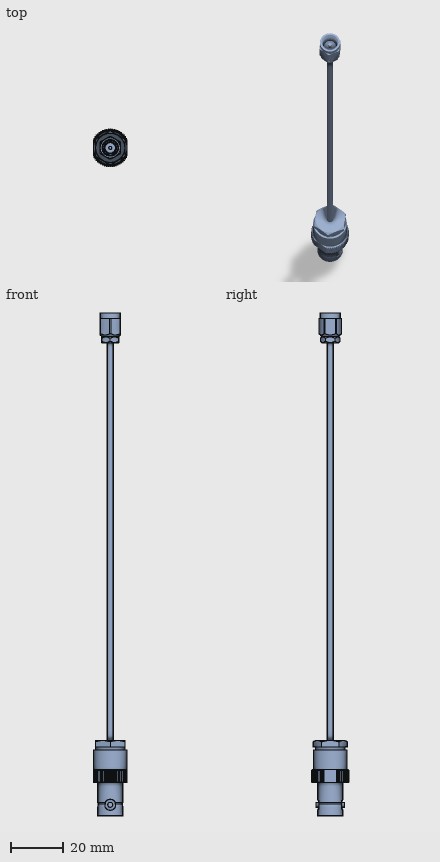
import cadquery as cq
import math

TOTAL_LENGTH = 192.5
JACK_TOP = 28.9
PLUG_BOTTOM = 180.9

CABLE_DIA = 2.3

BARREL_DIA = 9.6
SLEEVE_DIA = 12.9
KNURL_DIA = 14.5
KNURL_BOTTOM = 12.7
KNURL_TOP = 17.7
KNURL_CHAMFER = 0.4
SLEEVE_TOP = 25.2
KNURL_FLATS = SLEEVE_DIA
KNURL_COUNT = 60
KNURL_DEPTH = 0.4

GROOVE_BOTTOM = 3.5
GROOVE_DEEPEST = 4.6
GROOVE_TOP = 5.2
GROOVE_DEPTH = 0.2

LUG_Z = 4.2
LUG_DIA = 2.0
LUG_SPAN = 11.0
LUG_SEAT_DIA = 4.2
LUG_SEAT_SPAN = 8.5

CLAMP_NECK_DIA = 11.4
CLAMP_HEX_BOTTOM = 26.4
CLAMP_ACROSS_FLATS = 11.4
CLAMP_FACE_DIA = 11.2
CLAMP_CHAMFER_ANGLE = 30.0

COUPLING_BOTTOM = 183.4
COUPLING_HEX_TOP = 190.3
COUPLING_ACROSS_FLATS = 7.7
COUPLING_TURNED_DIA = 8.7
COUPLING_FACE_DIA = 6.5
COLLAR_DIA = COUPLING_ACROSS_FLATS
THREAD_MINOR_DIA = 5.8
THREAD_DEPTH = 0.29
THREAD_PITCH = 0.7
THREAD_TURNS = 7
COUPLING_FLOOR = 185.7

FERRULE_ACROSS_FLATS = 6.5
FERRULE_FACE_DIA = 6.2
SHELL_DIA = 4.8
SHELL_TOP = 188.5
INSULATOR_DIA = 4.0
INSULATOR_BOTTOM = 184.7
PIN_DIA = 1.2
PIN_TOP = 190.5

PLUG_CHAMFER_ANGLE = 45.0
HEX_CORNER_RATIO = 2 / math.sqrt(3)


def cylinder(diameter, bottom, top):
    """Cylinder on the Z axis between two heights."""
    return cq.Workplane("XY").workplane(offset=bottom).circle(diameter / 2).extrude(top - bottom)


def revolve_profile(points):
    """Solid of revolution about Z from (radius, height) points."""
    return cq.Workplane("XZ").polyline(points).close().revolve(360, (0, 0, 0), (0, 1, 0))


def hexagon(across_flats, bottom, top):
    """Hexagonal prism with flats facing +X and -X."""
    prism = cq.Workplane("XY").workplane(offset=bottom).polygon(6, across_flats * HEX_CORNER_RATIO)
    return prism.extrude(top - bottom).rotate((0, 0, 0), (0, 0, 1), 30)


def turned_hexagon(
    across_flats, bottom, top, turned_dia, face_dia, angle, chamfer_bottom=False, chamfer_top=False
):
    """Hexagonal prism turned to a diameter, its corners coned down to a round face at the chosen ends."""
    outer = turned_dia / 2
    face = face_dia / 2
    drop = (outer - face) * math.tan(math.radians(angle))
    lower = [(face, bottom), (outer, bottom + drop)] if chamfer_bottom else [(outer, bottom)]
    upper = [(outer, top - drop), (face, top)] if chamfer_top else [(outer, top)]
    envelope = revolve_profile([(0, bottom), *lower, *upper, (0, top)])
    return hexagon(across_flats, bottom, top).intersect(envelope)


def make_cable():
    return cylinder(CABLE_DIA, JACK_TOP, PLUG_BOTTOM)


def make_knurled_ring():
    """Straight-knurled ring with two opposite flats."""
    radius = KNURL_DIA / 2
    root = radius - KNURL_DEPTH
    step = 2 * math.pi / KNURL_COUNT
    points = []
    for index in range(KNURL_COUNT):
        crest_angle = index * step
        root_angle = crest_angle + step / 2
        points.append((radius * math.cos(crest_angle), radius * math.sin(crest_angle)))
        points.append((root * math.cos(root_angle), root * math.sin(root_angle)))
    height = KNURL_TOP - KNURL_BOTTOM
    ring = cq.Workplane("XY").workplane(offset=KNURL_BOTTOM).polyline(points).close().extrude(height)
    turned = cylinder(KNURL_DIA, KNURL_BOTTOM, KNURL_TOP).edges().chamfer(KNURL_CHAMFER)
    flats = (
        cq.Workplane("XY")
        .workplane(offset=KNURL_BOTTOM)
        .rect(KNURL_FLATS, 2 * KNURL_DIA)
        .extrude(height)
    )
    return ring.intersect(turned).intersect(flats)


def make_barrel():
    """Barrel with its tapered groove and the two bayonet lugs in their round seats."""
    radius = BARREL_DIA / 2
    barrel = revolve_profile([
        (0, 0),
        (radius, 0),
        (radius, GROOVE_BOTTOM),
        (radius - GROOVE_DEPTH, GROOVE_DEEPEST),
        (radius, GROOVE_TOP),
        (radius, KNURL_BOTTOM),
        (0, KNURL_BOTTOM),
    ])
    for side in (-1, 1):
        seat_plane = cq.Plane((0, side * LUG_SEAT_SPAN / 2, LUG_Z), (1, 0, 0), (0, side, 0))
        seat = cq.Workplane(seat_plane).circle(LUG_SEAT_DIA / 2).extrude(radius)
        lug = cq.Workplane(seat_plane).circle(LUG_DIA / 2).extrude((LUG_SPAN - LUG_SEAT_SPAN) / 2)
        barrel = barrel.cut(seat).union(lug)
    return barrel


def make_jack_body():
    sleeve = cylinder(SLEEVE_DIA, KNURL_TOP, SLEEVE_TOP)
    return make_barrel().union(make_knurled_ring()).union(sleeve)


def make_clamp_nut():
    neck = cylinder(CLAMP_NECK_DIA, SLEEVE_TOP, CLAMP_HEX_BOTTOM)
    head = turned_hexagon(
        CLAMP_ACROSS_FLATS, CLAMP_HEX_BOTTOM, JACK_TOP, CLAMP_ACROSS_FLATS * HEX_CORNER_RATIO,
        CLAMP_FACE_DIA, CLAMP_CHAMFER_ANGLE, chamfer_top=True,
    )
    return neck.union(head)


def make_coupling_nut():
    """Hexagonal coupling nut with a round collar and a threaded cavity open at the top."""
    head = turned_hexagon(
        COUPLING_ACROSS_FLATS, COUPLING_BOTTOM, COUPLING_HEX_TOP, COUPLING_TURNED_DIA,
        COUPLING_FACE_DIA, PLUG_CHAMFER_ANGLE, chamfer_bottom=True,
    )
    collar = cylinder(COLLAR_DIA, COUPLING_HEX_TOP, TOTAL_LENGTH)
    minor = THREAD_MINOR_DIA / 2
    major = minor + THREAD_DEPTH
    cavity = [(0, COUPLING_FLOOR), (minor, COUPLING_FLOOR)]
    for turn in range(THREAD_TURNS, 0, -1):
        root = TOTAL_LENGTH - (turn - 1) * THREAD_PITCH
        cavity.append((minor, root - THREAD_PITCH / 2))
        cavity.append((major, root))
    cavity.append((0, TOTAL_LENGTH))
    shell_hole = cylinder(SHELL_DIA, COUPLING_BOTTOM, COUPLING_FLOOR)
    return head.union(collar).cut(revolve_profile(cavity)).cut(shell_hole)


def make_ferrule():
    """Hexagonal ferrule carrying the tubular inner shell of the plug."""
    base = turned_hexagon(
        FERRULE_ACROSS_FLATS, PLUG_BOTTOM, COUPLING_BOTTOM, FERRULE_ACROSS_FLATS * HEX_CORNER_RATIO,
        FERRULE_FACE_DIA, PLUG_CHAMFER_ANGLE, chamfer_bottom=True, chamfer_top=True,
    )
    shell = cylinder(SHELL_DIA, COUPLING_BOTTOM, SHELL_TOP)
    bore = cylinder(INSULATOR_DIA, INSULATOR_BOTTOM, SHELL_TOP)
    return base.union(shell).cut(bore)


def make_insulator():
    pin_hole = cylinder(PIN_DIA, INSULATOR_BOTTOM, SHELL_TOP)
    return cylinder(INSULATOR_DIA, INSULATOR_BOTTOM, SHELL_TOP).cut(pin_hole)


def make_centre_pin():
    return cylinder(PIN_DIA, INSULATOR_BOTTOM, PIN_TOP)


cable = make_cable()
jack_body = make_jack_body()
clamp_nut = make_clamp_nut()
coupling_nut = make_coupling_nut()
ferrule = make_ferrule()
insulator = make_insulator()
centre_pin = make_centre_pin()

result = cq.Compound.makeCompound([
    cable.val(),
    jack_body.val(),
    clamp_nut.val(),
    coupling_nut.val(),
    ferrule.val(),
    insulator.val(),
    centre_pin.val(),
])